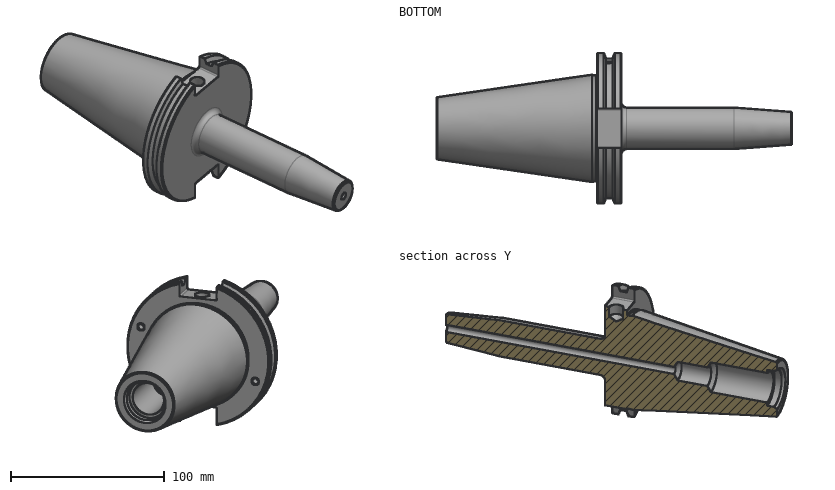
import cadquery as cq
import math

total_length = 231.5
gauge_x = 101.2
flange_start_x = 104.7
flange_end_x = 120.5
nose_start_x = 193.8

taper_ratio = 7 / 24
gauge_diameter = 70.0
small_end_diameter = gauge_diameter - gauge_x * taper_ratio
small_end_chamfer = 0.7

relief_diameter = 69.2
relief_start_x = 102.5
relief_end_x = 104.0

flange_diameter = 98.2
flange_chamfer = 0.7
groove_center_x = 112.5
groove_mouth_width = 7.2
groove_floor_width = 4.2
groove_floor_diameter = 91.3

shank_diameter = 27.0
shank_fillet = 3.5
nose_end_diameter = 21.5
nose_chamfer = 1.0

mouth_diameter = 28.7
mouth_chamfer_length = 2.0
socket_diameter = 26.2
socket_depth = 7.0
thread_bore_diameter = 21.5
thread_bore_depth = 46.3
pilot_bore_diameter = 13.5
pilot_bore_depth = 69.5
coolant_diameter = 4.9
drill_point_half_angle = math.radians(59)

slot_width = 25.7
slot_fillet = 1.0
upper_slot_floor_z = 38.2
lower_slot_floor_z = -35.2

dimple_diameter = 9.5
dimple_depth = 7.0

port_circle_radius = 42.0
port_angle = 20.0
port_mouth_diameter = 5.0
port_diameter = 4.2
radial_hole_diameter = 3.2


def cone_length(start_diameter, end_diameter):
    """Axial length of a drill point running between two diameters."""
    return (start_diameter - end_diameter) / 2 / math.tan(drill_point_half_angle)


def make_body():
    """Revolve the outer profile about X."""
    end_r = small_end_diameter / 2
    flange_r = flange_diameter / 2
    shank_r = shank_diameter / 2
    nose_r = nose_end_diameter / 2
    arc_inset = shank_fillet * (1 - math.sqrt(0.5))
    profile = (
        cq.Workplane("XY")
        .moveTo(0, 0)
        .lineTo(0, end_r - small_end_chamfer)
        .lineTo(small_end_chamfer, end_r + small_end_chamfer * taper_ratio / 2)
        .lineTo(gauge_x, gauge_diameter / 2)
        .lineTo(relief_start_x, relief_diameter / 2)
        .lineTo(relief_end_x, relief_diameter / 2)
        .lineTo(flange_start_x, gauge_diameter / 2)
        .lineTo(flange_start_x, flange_r - flange_chamfer)
        .lineTo(flange_start_x + flange_chamfer, flange_r)
        .lineTo(groove_center_x - groove_mouth_width / 2, flange_r)
        .lineTo(groove_center_x - groove_floor_width / 2, groove_floor_diameter / 2)
        .lineTo(groove_center_x + groove_floor_width / 2, groove_floor_diameter / 2)
        .lineTo(groove_center_x + groove_mouth_width / 2, flange_r)
        .lineTo(flange_end_x - flange_chamfer, flange_r)
        .lineTo(flange_end_x, flange_r - flange_chamfer)
        .lineTo(flange_end_x, shank_r + shank_fillet)
        .threePointArc(
            (flange_end_x + arc_inset, shank_r + arc_inset),
            (flange_end_x + shank_fillet, shank_r),
        )
        .lineTo(nose_start_x, shank_r)
        .lineTo(total_length - nose_chamfer, nose_r)
        .lineTo(total_length, nose_r - nose_chamfer)
        .lineTo(total_length, 0)
        .close()
    )
    return profile.revolve(360, (0, 0, 0), (1, 0, 0))


def make_bore():
    """Revolve the stepped bore that runs the full length of the part."""
    pilot_start_x = thread_bore_depth + cone_length(thread_bore_diameter, pilot_bore_diameter)
    coolant_start_x = pilot_bore_depth + cone_length(pilot_bore_diameter, coolant_diameter)
    profile = (
        cq.Workplane("XY")
        .moveTo(0, 0)
        .lineTo(0, mouth_diameter / 2)
        .lineTo(mouth_chamfer_length, socket_diameter / 2)
        .lineTo(socket_depth, socket_diameter / 2)
        .lineTo(socket_depth, thread_bore_diameter / 2)
        .lineTo(thread_bore_depth, thread_bore_diameter / 2)
        .lineTo(pilot_start_x, pilot_bore_diameter / 2)
        .lineTo(pilot_bore_depth, pilot_bore_diameter / 2)
        .lineTo(coolant_start_x, coolant_diameter / 2)
        .lineTo(total_length, coolant_diameter / 2)
        .lineTo(total_length, 0)
        .close()
    )
    return profile.revolve(360, (0, 0, 0), (1, 0, 0))


def make_slot(floor_z):
    """Drive slot across the flange, open outward from its floor, with rounded floor corners."""
    height = flange_diameter / 2
    center_z = floor_z + math.copysign(height / 2, floor_z)
    width_x = flange_end_x - flange_start_x
    center_x = (flange_start_x + flange_end_x) / 2
    floor_edges = "|X and <Z" if floor_z > 0 else "|X and >Z"
    slot = cq.Workplane("XY").box(width_x, slot_width, height).edges(floor_edges).fillet(slot_fillet)
    return slot.translate((center_x, 0, center_z))


def make_dimple():
    """Blind hole with a conical bottom in the upper slot floor."""
    point = cone_length(dimple_diameter, 0)
    profile = (
        cq.Workplane("XZ")
        .moveTo(0, 0)
        .lineTo(dimple_diameter / 2, 0)
        .lineTo(dimple_diameter / 2, -dimple_depth)
        .lineTo(0, -dimple_depth - point)
        .close()
    )
    dimple = profile.revolve(360, (0, 0, 0), (0, 1, 0))
    return dimple.translate((groove_center_x, 0, upper_slot_floor_z))


def make_coolant_ports():
    """Countersunk axial port meeting a radial hole from the groove floor, on both sides."""
    mouth_r = port_mouth_diameter / 2
    port_r = port_diameter / 2
    point_x = groove_center_x + cone_length(port_diameter, 0)
    axial_hole = (
        cq.Workplane("XY")
        .moveTo(flange_start_x, 0)
        .lineTo(flange_start_x, mouth_r)
        .lineTo(flange_start_x + mouth_r - port_r, port_r)
        .lineTo(groove_center_x, port_r)
        .lineTo(point_x, 0)
        .close()
        .revolve(360, (0, 0, 0), (1, 0, 0))
        .translate((0, port_circle_radius, 0))
    )
    radial_hole = (
        cq.Workplane("XZ", origin=(groove_center_x, port_circle_radius, 0))
        .circle(radial_hole_diameter / 2)
        .extrude(-(flange_diameter / 2 - port_circle_radius))
    )
    port = axial_hole.union(radial_hole).rotate((0, 0, 0), (1, 0, 0), port_angle)
    return port.union(port.rotate((0, 0, 0), (1, 0, 0), 180))


result = (
    make_body()
    .cut(make_bore())
    .cut(make_slot(upper_slot_floor_z))
    .cut(make_slot(lower_slot_floor_z))
    .cut(make_dimple())
    .cut(make_coolant_ports())
)